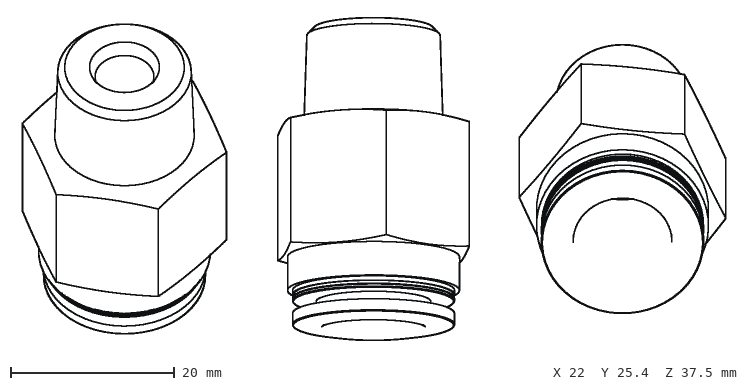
import cadquery as cq
import math

total_height = 37.45

hex_width = 22.0
hex_bottom_z = 9.05
hex_top_z = 25.42
hex_chamfer_angle = 15.0

spigot_base_diameter = 17.05
spigot_tip_diameter = 16.32
tip_chamfer_height = 0.9
tip_face_diameter = 14.6

sleeve_diameter = 21.0
sleeve_bottom_z = 4.9
ring_diameter = 19.8
ring_bottom_z = 3.52
ring_edge_chamfer = 0.1
ring_groove_bottom_z = 4.0
ring_groove_width = 0.37
ring_groove_depth = 0.15

neck_diameter = 14.0
neck_fillet_radius = 0.6
flange_diameter = 19.8
flange_top_z = 2.05
flange_bevel_angle = 12.0
flange_edge_chamfer = 0.1

socket_diameter = 12.0
socket_depth = 22.85
socket_lip_radius = 1.0

bore_diameter = 7.2
bore_mouth_diameter = 8.55
bore_mouth_depth = 1.7


def make_hexagon():
    """Hexagonal prism with flats on +X and -X and both ends turned to a cone."""
    across_corners = hex_width / math.cos(math.radians(30))
    height = hex_top_z - hex_bottom_z
    prism = (
        cq.Workplane("XY", origin=(0, 0, hex_bottom_z))
        .polygon(6, across_corners)
        .extrude(height)
        .rotate((0, 0, 0), (0, 0, 1), 30)
    )
    inner_radius = hex_width / 2
    outer_radius = across_corners / 2
    drop = (outer_radius - inner_radius) * math.tan(math.radians(hex_chamfer_angle))
    envelope = (
        cq.Workplane("XZ")
        .moveTo(0, hex_bottom_z)
        .lineTo(inner_radius, hex_bottom_z)
        .lineTo(outer_radius, hex_bottom_z + drop)
        .lineTo(outer_radius, hex_top_z - drop)
        .lineTo(inner_radius, hex_top_z)
        .lineTo(0, hex_top_z)
        .close()
        .revolve(360, (0, 0, 0), (0, 1, 0))
    )
    return prism.intersect(envelope)


def make_turned_body():
    """Spigot, sleeve, ring and release collar as one revolved profile."""
    neck_radius = neck_diameter / 2
    ring_radius = ring_diameter / 2
    groove_radius = ring_radius - ring_groove_depth
    groove_top_z = ring_groove_bottom_z + ring_groove_width
    fillet_reach = neck_fillet_radius * (1 - math.sqrt(0.5))
    flange_radius = flange_diameter / 2
    bevel_angle = math.radians(flange_bevel_angle)
    lip_center_radius = socket_diameter / 2 + socket_lip_radius
    bevel_start_radius = lip_center_radius + socket_lip_radius * math.sin(bevel_angle)
    bevel_start_z = socket_lip_radius * (1 - math.cos(bevel_angle))
    bevel_end_radius = flange_radius - flange_edge_chamfer
    bevel_end_z = bevel_start_z + (bevel_end_radius - bevel_start_radius) * math.tan(bevel_angle)
    return (
        cq.Workplane("XZ")
        .moveTo(0, socket_lip_radius)
        .lineTo(socket_diameter / 2, socket_lip_radius)
        .threePointArc((lip_center_radius, 0), (bevel_start_radius, bevel_start_z))
        .lineTo(bevel_end_radius, bevel_end_z)
        .lineTo(flange_radius, bevel_end_z + flange_edge_chamfer)
        .lineTo(flange_radius, flange_top_z)
        .lineTo(neck_radius + neck_fillet_radius, flange_top_z)
        .threePointArc(
            (neck_radius + fillet_reach, flange_top_z + fillet_reach),
            (neck_radius, flange_top_z + neck_fillet_radius),
        )
        .lineTo(neck_radius, ring_bottom_z)
        .lineTo(ring_radius - ring_edge_chamfer, ring_bottom_z)
        .lineTo(ring_radius, ring_bottom_z + ring_edge_chamfer)
        .lineTo(ring_radius, ring_groove_bottom_z - ring_edge_chamfer)
        .lineTo(ring_radius - ring_edge_chamfer, ring_groove_bottom_z)
        .lineTo(groove_radius, ring_groove_bottom_z)
        .lineTo(groove_radius, groove_top_z)
        .lineTo(ring_radius, groove_top_z)
        .lineTo(ring_radius, sleeve_bottom_z)
        .lineTo(sleeve_diameter / 2, sleeve_bottom_z)
        .lineTo(sleeve_diameter / 2, hex_bottom_z)
        .lineTo(spigot_base_diameter / 2, hex_top_z)
        .lineTo(spigot_tip_diameter / 2, total_height - tip_chamfer_height)
        .lineTo(tip_face_diameter / 2, total_height)
        .lineTo(0, total_height)
        .close()
        .revolve(360, (0, 0, 0), (0, 1, 0))
    )


def make_bore():
    """Tube socket opening into a bore that widens conically at the spigot tip."""
    bore_radius = bore_diameter / 2
    socket_radius = socket_diameter / 2
    return (
        cq.Workplane("XZ")
        .lineTo(socket_radius, 0)
        .lineTo(socket_radius, socket_depth)
        .lineTo(bore_radius, socket_depth)
        .lineTo(bore_radius, total_height - bore_mouth_depth)
        .lineTo(bore_mouth_diameter / 2, total_height)
        .lineTo(0, total_height)
        .close()
        .revolve(360, (0, 0, 0), (0, 1, 0))
    )


result = make_turned_body().union(make_hexagon()).cut(make_bore())